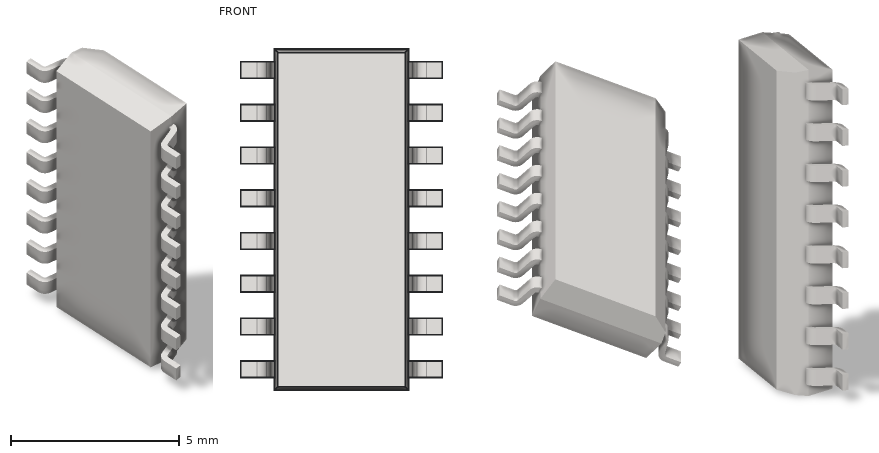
import cadquery as cq
import math

BODY_LENGTH = 10.16
BODY_WIDTH = 4.0
BODY_DEPTH = 1.6
BODY_HALF_DEPTH = BODY_DEPTH / 2
DRAFT_INSET = 0.11
STANDOFF = 0.1
PARTING_Y = STANDOFF + BODY_HALF_DEPTH
BACK_Y = STANDOFF + BODY_DEPTH

BEVEL_WIDTH = 0.58
BEVEL_DEPTH = 0.4
BEVEL_START_Y = BACK_Y - BEVEL_DEPTH

LEADS_PER_SIDE = 8
LEAD_PITCH = 1.27
LEAD_WIDTH = 0.5
LEAD_THICKNESS = 0.19
LEAD_SPAN = 6.0
FOOT_LENGTH = 0.48
BEND_INNER_RADIUS = 0.1
BEND_ANGLE = math.radians(75)
LEAD_EMBED = 0.2


def make_body():
    draft = math.degrees(math.atan(DRAFT_INSET / BODY_HALF_DEPTH))
    parting = cq.Workplane("XZ", origin=(0, PARTING_Y, 0)).rect(BODY_WIDTH, BODY_LENGTH)
    front_half = parting.extrude(BODY_HALF_DEPTH, taper=draft)
    return front_half.union(front_half.mirror("XZ", (0, PARTING_Y, 0)))


def make_bevel_cutter():
    side_x = -BODY_WIDTH / 2
    start_x = side_x + DRAFT_INSET * (BEVEL_START_Y - PARTING_Y) / BODY_HALF_DEPTH
    return (
        cq.Workplane("XY")
        .moveTo(start_x, BEVEL_START_Y)
        .lineTo(side_x + BEVEL_WIDTH, BACK_Y)
        .lineTo(side_x, BACK_Y)
        .lineTo(side_x, BEVEL_START_Y)
        .close()
        .extrude(BODY_LENGTH / 2, both=True)
    )


def make_lead():
    """One +X lead centred on Z = 0, swept along its centre line from foot to body."""
    foot_y = LEAD_THICKNESS / 2
    bend_radius = BEND_INNER_RADIUS + LEAD_THICKNESS / 2
    bend_run = bend_radius * math.sin(BEND_ANGLE)
    bend_rise = bend_radius * (1 - math.cos(BEND_ANGLE))
    shank_rise = PARTING_Y - foot_y - 2 * bend_rise
    shank_run = shank_rise / math.tan(BEND_ANGLE)

    tip_x = LEAD_SPAN / 2
    foot_bend_x = tip_x - FOOT_LENGTH
    shank_low = (foot_bend_x - bend_run, foot_y + bend_rise)
    shank_high = (shank_low[0] - shank_run, shank_low[1] + shank_rise)
    shoulder = (shank_high[0] - bend_run, PARTING_Y)

    centre_line = (
        cq.Workplane("XY")
        .moveTo(tip_x, foot_y)
        .lineTo(foot_bend_x, foot_y)
        .tangentArcPoint(shank_low, relative=False)
        .lineTo(*shank_high)
        .tangentArcPoint(shoulder, relative=False)
        .lineTo(BODY_WIDTH / 2 - LEAD_EMBED, PARTING_Y)
    )
    section = cq.Workplane("YZ", origin=(tip_x, foot_y, 0)).rect(LEAD_THICKNESS, LEAD_WIDTH)
    return section.sweep(centre_line)


result = make_body().cut(make_bevel_cutter())
right_lead = make_lead()
left_lead = right_lead.mirror("YZ")
for index in range(LEADS_PER_SIDE):
    lead_z = (index - (LEADS_PER_SIDE - 1) / 2) * LEAD_PITCH
    for lead in (right_lead, left_lead):
        result = result.union(lead.translate((0, 0, lead_z)))